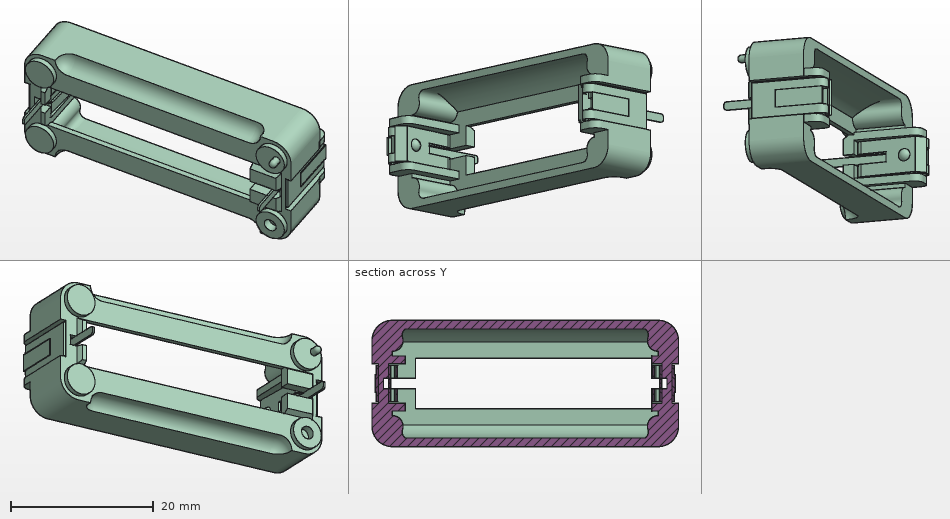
import cadquery as cq
import math


LENGTH = 43.0
HEIGHT = 17.75
DEPTH = 8.15
CORNER_RADIUS = 2.9
HALF_LENGTH = LENGTH / 2
HALF_HEIGHT = HEIGHT / 2
CORNER_CENTRE_X = HALF_LENGTH - CORNER_RADIUS
CORNER_CENTRE_Z = HALF_HEIGHT - CORNER_RADIUS

LEFT_WALL_X = -17.7
RIGHT_WALL_X = 16.8
CAVITY_HALF_HEIGHT = 7.8
CRADLE_AXIS_Y = 6.0
LIP_DEPTH = 0.8
WINDOW_HALF_HEIGHT = 3.53
CORNER_FILLET = 1.0
BOSS_RADIUS = 1.5

SEAT_HALF_HEIGHT = 2.75
END_NOTCH_DEPTH = 0.9
WALL_TOP_Y = 9.75
POST_TOP_Y = 10.7
POST_HALF_HEIGHT = 3.85
POST_RADIUS = 1.35
RIGHT_POST_INSET = 0.15
TAIL_SLOT_HALF_HEIGHT = 0.75
TAIL_SLOT_X = 19.85

FOOT_HEIGHT = 0.8
FOOT_RADIUS = 2.3
TAB_SIDE_TAPER = 0.5
TAB_END_TAPER = 0.45
LEFT_TAB_OUTER_X = -18.85
RIGHT_TAB_INNER_X = 15.35
RIGHT_TAB_OUTER_X = 19.95
PEG_RADIUS = 0.55
PEG_X = 19.65
PEG_Z = 6.45
PEG_END_Y = -2.35
SOCKET_RADIUS = 0.95
SOCKET_DEPTH = 1.3

GROOVE_RADIUS = 1.95
GROOVE_HALF_LENGTH = 14.6
GROOVE_AXIS_Y = 0.5

SHEET = 0.3
CLIP_HALF_HEIGHT = 2.55
CLIP_BOTTOM_Y = 0.2
BEND_CENTRE_Y = 10.15
BEND_OUTER_RADIUS = 1.05
OUTER_LEG_X = HALF_LENGTH - END_NOTCH_DEPTH + SHEET / 2
INNER_LEG_X = OUTER_LEG_X - 2 * BEND_OUTER_RADIUS + SHEET
FOLD_CENTRE_Y = 1.7
LEAF_BOTTOM_X = 18.15
LEAF_TOP_X = 17.7
LEAF_TOP_Y = 10.0
FLARE_TIP_Y = 11.3
TAIL_HALF_HEIGHT = 0.6
TAIL_END_Y = -4.75
TAIL_TIP_RADIUS = 0.47
LEAF_SLOT_TOP_Y = 5.6
LATCH_HALF_HEIGHT = 1.25
LATCH_BOTTOM_Y = 3.7
LATCH_TOP_Y = 10.75
LATCH_OFFSET = 0.15
DOME_Y = 8.4
DOME_RADIUS = 0.9
DOME_TOP_X = 17.03


def block(x_range, y_range, z_range):
    """Box between the given limits; the limits may come in either order."""
    sizes = [abs(b - a) for a, b in (x_range, y_range, z_range)]
    middles = [(a + b) / 2 for a, b in (x_range, y_range, z_range)]
    return cq.Workplane("XY").box(*sizes).translate(tuple(middles))


def band(x_range, y_range, half_height):
    """Box centred on Z = 0."""
    return block(x_range, y_range, (-half_height, half_height))


def prism_along_y(plan, y_start, y_end):
    """Extrude a plan, drawn with X right and Z up, between two Y positions."""
    return plan.extrude(y_start - y_end).translate((0, y_start, 0))


def y_cylinder(x, z, radius, y_start, y_end):
    plan = cq.Workplane("XZ").center(x, z).circle(radius)
    return prism_along_y(plan, y_start, y_end)



def cavity_half_plan(wall_x):
    """Right half of the cavity at full depth, its corners wrapped around two round bosses."""
    wall_to_boss = CAVITY_HALF_HEIGHT - CORNER_CENTRE_Z
    fillet_z = CAVITY_HALF_HEIGHT - CORNER_FILLET
    reach = CORNER_FILLET + BOSS_RADIUS
    fillet_x = CORNER_CENTRE_X - math.sqrt(reach ** 2 - (wall_to_boss - CORNER_FILLET) ** 2)
    fillet_part = CORNER_FILLET / reach
    touch_x = fillet_x + (CORNER_CENTRE_X - fillet_x) * fillet_part
    touch_z = fillet_z + (CORNER_CENTRE_Z - fillet_z) * fillet_part
    half_diagonal = math.sqrt(0.5)
    boss_mid_x = CORNER_CENTRE_X - BOSS_RADIUS * half_diagonal
    boss_mid_z = CORNER_CENTRE_Z - BOSS_RADIUS * half_diagonal
    boss_inner_z = CORNER_CENTRE_Z - BOSS_RADIUS

    plan = (
        cq.Workplane("XZ")
        .moveTo(0, 0)
        .lineTo(0, CAVITY_HALF_HEIGHT)
        .lineTo(fillet_x, CAVITY_HALF_HEIGHT)
        .tangentArcPoint((touch_x, touch_z), relative=False)
        .threePointArc((boss_mid_x, boss_mid_z), (CORNER_CENTRE_X, boss_inner_z))
        .lineTo(CORNER_CENTRE_X, POST_HALF_HEIGHT)
        .lineTo(wall_x, POST_HALF_HEIGHT)
        .lineTo(wall_x, 0)
        .close()
    )
    quarter = prism_along_y(plan, 0, DEPTH)
    return quarter.union(quarter.mirror("XY"))


def cavity():
    """Battery space, with a round cradle in cross-section and a lip along the front window."""
    right_half = cavity_half_plan(RIGHT_WALL_X)
    left_half = cavity_half_plan(-LEFT_WALL_X).mirror("YZ")
    cradle = cq.Workplane("YZ").center(CRADLE_AXIS_Y, 0).circle(CAVITY_HALF_HEIGHT)
    cradle = cradle.extrude(HALF_LENGTH, both=True)
    length_range = (-HALF_LENGTH, HALF_LENGTH)
    behind_lip = band(length_range, (LIP_DEPTH, DEPTH), CAVITY_HALF_HEIGHT)
    trough = cradle.intersect(behind_lip)
    trough = trough.union(band(length_range, (CRADLE_AXIS_Y, DEPTH), CAVITY_HALF_HEIGHT))
    trough = trough.union(band(length_range, (0, LIP_DEPTH), WINDOW_HALF_HEIGHT))
    return right_half.union(left_half).intersect(trough)


def finger_groove(side):
    """Round-ended groove along the upper (side = 1) or lower (side = -1) front edge."""
    z = side * HALF_HEIGHT
    diagonal = GROOVE_RADIUS * math.sqrt(0.5)
    reach = GROOVE_HALF_LENGTH + GROOVE_RADIUS
    capsule = (
        cq.Workplane("XY")
        .moveTo(-reach, 0)
        .threePointArc((-GROOVE_HALF_LENGTH - diagonal, diagonal), (-GROOVE_HALF_LENGTH, GROOVE_RADIUS))
        .lineTo(GROOVE_HALF_LENGTH, GROOVE_RADIUS)
        .threePointArc((GROOVE_HALF_LENGTH + diagonal, diagonal), (reach, 0))
        .close()
        .revolve(360, (0, 0, 0), (1, 0, 0))
        .translate((0, GROOVE_AXIS_Y, z))
    )
    mouth = cq.Workplane("XZ").center(0, z).slot2D(2 * reach, 2 * GROOVE_RADIUS)
    return capsule.union(prism_along_y(mouth, 0, GROOVE_AXIS_Y))


def end_posts(inner_x, outer_x):
    """Round-shouldered block at one end, to be split into two posts by the clip seat."""
    return band((inner_x, outer_x), (0, POST_TOP_Y), POST_HALF_HEIGHT).edges("|Z and >Y").fillet(POST_RADIUS)


def clip_seat(direction, inner_x):
    """Space for the clip at one end: outer notch, inner recess and the gap above the wall."""
    notch_x = direction * (HALF_LENGTH - END_NOTCH_DEPTH)
    leg_face_x = direction * (INNER_LEG_X + SHEET / 2)
    outer_x = direction * LENGTH
    notch = band((notch_x, outer_x), (0, POST_TOP_Y), SEAT_HALF_HEIGHT)
    recess = band((inner_x, leg_face_x), (LIP_DEPTH, POST_TOP_Y), SEAT_HALF_HEIGHT)
    gap = band((inner_x, outer_x), (WALL_TOP_Y, POST_TOP_Y), SEAT_HALF_HEIGHT)
    return notch.union(recess).union(gap)


def front_tab(inner_x, outer_x):
    """Tab across the window end, its outer end and both sides sloping in toward the front."""
    front_outer_x = outer_x - math.copysign(TAB_END_TAPER, outer_x)
    front_half_height = WINDOW_HALF_HEIGHT - TAB_SIDE_TAPER
    plan = [
        (inner_x, LIP_DEPTH),
        (outer_x, LIP_DEPTH),
        (outer_x, 0),
        (front_outer_x, -FOOT_HEIGHT),
        (inner_x, -FOOT_HEIGHT),
    ]
    side = [
        (LIP_DEPTH, WINDOW_HALF_HEIGHT),
        (0, WINDOW_HALF_HEIGHT),
        (-FOOT_HEIGHT, front_half_height),
        (-FOOT_HEIGHT, -front_half_height),
        (0, -WINDOW_HALF_HEIGHT),
        (LIP_DEPTH, -WINDOW_HALF_HEIGHT),
    ]
    tab = cq.Workplane("XY").polyline(plan).close().extrude(HALF_HEIGHT, both=True)
    return tab.intersect(cq.Workplane("YZ").polyline(side).close().extrude(HALF_LENGTH, both=True))


def make_housing():
    body = block((-HALF_LENGTH, HALF_LENGTH), (0, DEPTH), (-HALF_HEIGHT, HALF_HEIGHT))
    body = body.edges("|Y").fillet(CORNER_RADIUS)
    body = body.union(end_posts(LEFT_WALL_X, -HALF_LENGTH))
    body = body.union(end_posts(RIGHT_WALL_X, HALF_LENGTH - RIGHT_POST_INSET))
    body = body.cut(cavity())
    body = body.cut(clip_seat(-1, LEFT_WALL_X)).cut(clip_seat(1, RIGHT_WALL_X))
    body = body.cut(finger_groove(1)).cut(finger_groove(-1))
    body = body.union(front_tab(LEFT_WALL_X, LEFT_TAB_OUTER_X))
    body = body.union(front_tab(RIGHT_TAB_INNER_X, RIGHT_TAB_OUTER_X))

    for slot in ((-TAIL_SLOT_X, LEFT_WALL_X), (RIGHT_TAB_INNER_X, TAIL_SLOT_X)):
        body = body.cut(band(slot, (-FOOT_HEIGHT, POST_TOP_Y), TAIL_SLOT_HALF_HEIGHT))

    for x in (-CORNER_CENTRE_X, CORNER_CENTRE_X):
        for z in (-CORNER_CENTRE_Z, CORNER_CENTRE_Z):
            body = body.union(y_cylinder(x, z, FOOT_RADIUS, -FOOT_HEIGHT, 0))

    peg = y_cylinder(PEG_X, PEG_Z, PEG_RADIUS, PEG_END_Y + PEG_RADIUS, -FOOT_HEIGHT)
    tip = cq.Workplane("XY").sphere(PEG_RADIUS).translate((PEG_X, PEG_END_Y + PEG_RADIUS, PEG_Z))
    body = body.union(peg.union(tip))
    socket_end_y = SOCKET_DEPTH - FOOT_HEIGHT
    return body.cut(y_cylinder(CORNER_CENTRE_X, -CORNER_CENTRE_Z, SOCKET_RADIUS, -FOOT_HEIGHT, socket_end_y))



def strip(start, end):
    """Flat stretch of sheet whose mid-line joins two points in the XY plane."""
    run_x = end[0] - start[0]
    run_y = end[1] - start[1]
    length = math.hypot(run_x, run_y)
    angle = math.degrees(math.atan2(run_y, run_x))
    flat = cq.Workplane("XY").box(length, SHEET, 2 * CLIP_HALF_HEIGHT).rotate((0, 0, 0), (0, 0, 1), angle)
    return flat.translate(((start[0] + end[0]) / 2, (start[1] + end[1]) / 2, 0))


def half_bend(x, y, outer_radius, direction):
    """Half turn of sheet about a Z axis, bulging toward +Y (direction = 1) or -Y (-1)."""
    ring = cq.Workplane("XY").circle(outer_radius).circle(outer_radius - SHEET)
    ring = ring.extrude(CLIP_HALF_HEIGHT, both=True)
    half = band((-outer_radius, outer_radius), (0, direction * outer_radius), CLIP_HALF_HEIGHT)
    return ring.intersect(half).translate((x, y, 0))


def contact_dome():
    """Spherical cap pressed out of the leaf toward the battery."""
    rise = LEAF_TOP_X - DOME_TOP_X
    ball_radius = (DOME_RADIUS ** 2 + rise ** 2) / (2 * rise)
    ball = cq.Workplane("XY").sphere(ball_radius).translate((DOME_TOP_X + ball_radius, DOME_Y, 0))
    return ball.intersect(band((0, LEAF_TOP_X), (0, LENGTH), HALF_HEIGHT))


def make_clip(direction):
    """One clip, shaped for the right end (direction = 1) and mirrored for the left end (-1)."""
    bend_x = (OUTER_LEG_X + INNER_LEG_X) / 2
    fold_x = (INNER_LEG_X + LEAF_BOTTOM_X) / 2
    fold_radius = (INNER_LEG_X - LEAF_BOTTOM_X + SHEET) / 2
    flare_run = FLARE_TIP_Y - SHEET / 2 * math.sqrt(0.5) - LEAF_TOP_Y
    leaf_top = (LEAF_TOP_X, LEAF_TOP_Y)
    flare_end = (LEAF_TOP_X + flare_run, LEAF_TOP_Y + flare_run)
    leaf_face_x = INNER_LEG_X - SHEET / 2
    leg_back_x = INNER_LEG_X + SHEET / 2

    clip = strip((OUTER_LEG_X, CLIP_BOTTOM_Y), (OUTER_LEG_X, BEND_CENTRE_Y))
    clip = clip.union(half_bend(bend_x, BEND_CENTRE_Y, BEND_OUTER_RADIUS, 1))
    clip = clip.union(strip((INNER_LEG_X, BEND_CENTRE_Y), (INNER_LEG_X, FOLD_CENTRE_Y)))
    clip = clip.union(half_bend(fold_x, FOLD_CENTRE_Y, fold_radius, -1))
    clip = clip.union(strip((LEAF_BOTTOM_X, FOLD_CENTRE_Y), leaf_top))
    clip = clip.union(strip(leaf_top, flare_end))

    clip = clip.cut(band((0, leg_back_x), (0, LEAF_SLOT_TOP_Y), TAIL_SLOT_HALF_HEIGHT))
    tail = band((leaf_face_x, leg_back_x), (TAIL_END_Y, LEAF_SLOT_TOP_Y), TAIL_HALF_HEIGHT)
    clip = clip.union(tail.edges("|X and <Y").fillet(TAIL_TIP_RADIUS))

    latch_x = OUTER_LEG_X + LATCH_OFFSET
    bend_end_y = BEND_CENTRE_Y + BEND_OUTER_RADIUS
    window = band((leg_back_x, LENGTH), (BEND_CENTRE_Y, bend_end_y), LATCH_HALF_HEIGHT)
    latch = band((latch_x - SHEET / 2, latch_x + SHEET / 2), (LATCH_BOTTOM_Y, LATCH_TOP_Y), LATCH_HALF_HEIGHT)
    clip = clip.cut(window).union(latch)
    clip = clip.union(contact_dome())
    if direction < 0:
        clip = clip.mirror("YZ")
    return clip


housing = make_housing()
contact_clips = []
for end in (-1, 1):
    contact_clips.append(make_clip(end).val())

result = cq.Compound.makeCompound([housing.val(), *contact_clips])